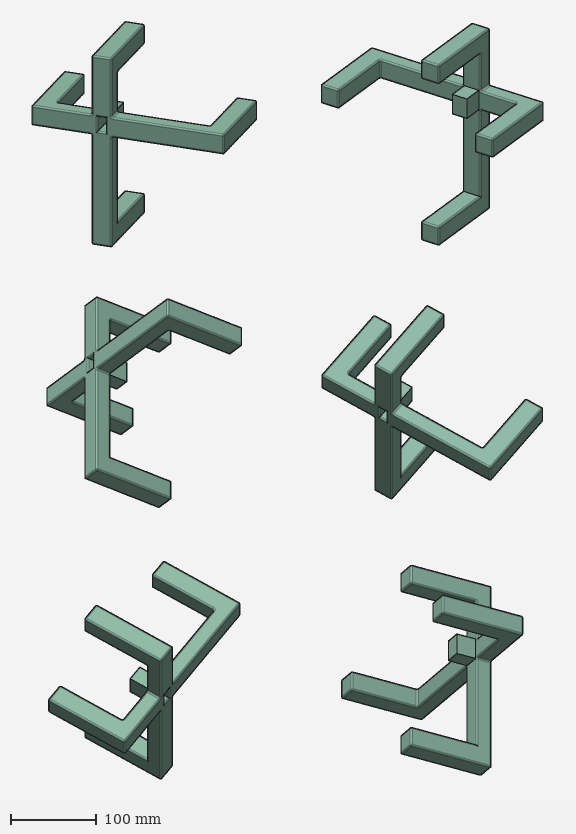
import cadquery as cq

span = 240.0
prong_reach = 108.0

bar_width = 25.0
bar_depth = 20.0
short_arm = 75.0
edge_round = 2.0

pocket_width = 10.0
pocket_height = 18.5
pocket_depth = 40.0
pocket_lift = 1.7
side_wall = 5.0
socket_rise = 1.0
back_wall = 5.0

half_span = span / 2
cross_x = -half_span + short_arm + bar_width / 2
cross_z = half_span - short_arm - bar_width / 2
pocket_z = cross_z + pocket_lift
bar_right = cross_x + bar_width / 2
bar_left = cross_x - bar_width / 2
bar_top = cross_z + bar_width / 2
bar_bottom = cross_z - bar_width / 2
prong_inner = half_span - bar_width
mouth_margin = 0.2


def block(x_center, z_center, x_size, z_size, y_size):
    """Box standing on the front face and reaching back along +Y."""
    return (
        cq.Workplane("XY")
        .box(x_size, y_size, z_size, centered=(True, False, True))
        .translate((x_center, 0, z_center))
    )


def make_frame():
    """Two crossed bars with a prong at each of the four ends, rounded except at one inner corner."""
    frame = block(0, cross_z, span, bar_width, bar_depth)
    frame = frame.union(block(cross_x, 0, bar_width, span, bar_depth))
    prong_offset = half_span - bar_width / 2
    for side in (-1, 1):
        frame = frame.union(block(side * prong_offset, cross_z, bar_width, bar_width, prong_reach))
        frame = frame.union(block(cross_x, side * prong_offset, bar_width, bar_width, prong_reach))
    frame = frame.clean()

    sharp_root = cq.selectors.NearestToPointSelector((cross_x, bar_depth, -prong_inner))
    return frame.edges(cq.selectors.InverseSelector(sharp_root)).fillet(edge_round)


def make_socket():
    """Solid block behind the crossing that surrounds the pocket."""
    return block(
        cross_x,
        cross_z + socket_rise / 2,
        pocket_width + 2 * side_wall,
        bar_width + socket_rise,
        pocket_depth + back_wall,
    )


def cut_pocket(body):
    """Cut the blind pocket from the front face and round its mouth."""
    body = body.cut(block(cross_x, pocket_z, pocket_width, pocket_height, pocket_depth))
    mouth = cq.selectors.BoxSelector(
        (bar_left, -mouth_margin, bar_bottom),
        (bar_right, mouth_margin, bar_top),
    )
    return body.edges(mouth).fillet(edge_round)


result = cut_pocket(make_frame().union(make_socket()))